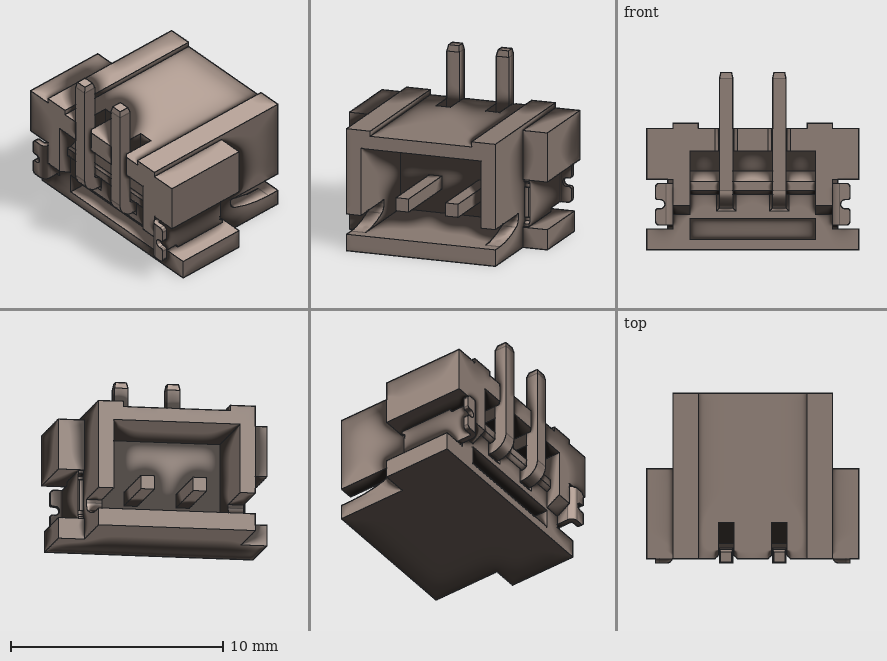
import cadquery as cq
import math


ear_half_width = 5.0
body_half_width = 3.76
body_depth = 7.8
body_height = 5.72
rail_inner_x = 2.56
rail_top = 5.97
ear_depth = 4.24
lower_ear_top = 0.99
upper_ear_bottom = 3.32
base_front = 0.71
leg_bottom_front = 2.1
leg_bottom_back = 1.66

recess_half_width = 2.95
recess_top = 4.66
recess_back = 1.7
ramp_top = 3.71
lip_front = 0.5
lip_top = 3.22
lip_bottom = 2.79
lip_root = 2.61
label_bottom = 0.49
label_top = 1.48
label_depth = 0.76

cavity_half_width = 3.03
roof_thickness = 0.64
cavity_front = 2.7
cavity_floor = 0.81
slot_top = 1.8
slot_front = 4.8
slot_flat_end = 7.2
slot_arc_radius = 5.8
slot_corner_radius = 0.45

pin_pitch = 2.5
pin_size = 0.64
pin_front = -0.21
pin_top = 8.36
pin_tip_height = 0.29
pin_tip_inset = 0.06
pin_tip_back_inset = 0.1
pin_bottom = 1.97
pin_bend_radius = 0.82
pin_end = 7.0
pin_slot_width = 0.72
pin_slot_chamfer = 0.17
pocket_flare = 0.13

tab_thickness = 0.25
tab_inner_radius = 0.07
tab_back = 4.01
tab_foot_x = 4.58
tab_foot_bottom = 1.17
tab_foot_top = 3.14
tab_neck_y = 1.25
tab_foot_corner = 0.18
tab_notch_width = 0.42
tab_notch_depth = 0.44
tab_notch_mouth_radius = 0.11
tab_rear_chamfer = 0.06
tab_barb_back = 4.07
tab_barb_straight = 0.13
tab_relief_back = 3.92
tab_relief_start = 0.25
tab_relief_end = 0.43

DIAGONAL = math.sqrt(0.5)
pin_places = (-pin_pitch / 2, pin_pitch / 2)


def box(x0, x1, y0, y1, z0, z1):
    return cq.Workplane("XY").box(x1 - x0, y1 - y0, z1 - z0, centered=False).translate((x0, y0, z0))


def bar(half_width, y0, y1, z0, z1):
    return box(-half_width, half_width, y0, y1, z0, z1)


def sketch_across(x):
    """YZ sketch plane at the given X; extrusion goes toward +X."""
    return cq.Workplane("YZ", origin=(x, 0, 0))


def make_housing():
    body = (
        sketch_across(-body_half_width)
        .polyline([
            (base_front, 0),
            (body_depth, 0),
            (body_depth, body_height),
            (0, body_height),
            (0, leg_bottom_front),
            (base_front, leg_bottom_back),
        ])
        .close()
        .extrude(2 * body_half_width)
    )
    body = body.union(bar(ear_half_width, base_front, ear_depth, 0, lower_ear_top))
    body = body.union(bar(ear_half_width, 0, ear_depth, upper_ear_bottom, body_height))
    rails = bar(body_half_width, 0, body_depth, body_height, rail_top)
    rails = rails.cut(bar(rail_inner_x, 0, body_depth, body_height, rail_top))
    return body.union(rails)


def make_front_recess():
    """Opening above the base with a ramp and an overhanging lip under it."""
    return (
        sketch_across(-recess_half_width)
        .polyline([
            (0, recess_top),
            (recess_back, recess_top),
            (recess_back, ramp_top),
            (base_front, lip_top),
            (lip_front, lip_top),
            (lip_front, lip_bottom),
            (base_front, lip_root),
            (base_front, leg_bottom_back),
            (0, leg_bottom_back),
        ])
        .close()
        .extrude(2 * recess_half_width)
    )


def make_side_slot():
    arc_end_run = slot_flat_end - slot_front
    half_sweep = math.asin(arc_end_run / slot_arc_radius) / 2

    def arc_point(angle):
        rise = slot_arc_radius * (1 - math.cos(angle))
        return (slot_flat_end - slot_arc_radius * math.sin(angle), cavity_floor + rise)

    slot = (
        sketch_across(-body_half_width)
        .moveTo(body_depth, slot_top)
        .lineTo(body_depth, cavity_floor)
        .lineTo(slot_flat_end, cavity_floor)
        .threePointArc(arc_point(half_sweep), arc_point(2 * half_sweep))
        .lineTo(slot_front, slot_top)
        .close()
        .extrude(2 * body_half_width)
    )
    corner = cq.selectors.NearestToPointSelector((0,) + arc_point(2 * half_sweep))
    return slot.edges("|X").edges(corner).fillet(slot_corner_radius)


def make_pin_slot(x):
    """Slot through the top wall with a chamfered mouth."""
    half = pin_slot_width / 2
    mouth = half + pin_slot_chamfer
    return (
        cq.Workplane("XY", origin=(x, 0, recess_top))
        .polyline([
            (-mouth, 0),
            (-half, pin_slot_chamfer),
            (-half, recess_back),
            (half, recess_back),
            (half, pin_slot_chamfer),
            (mouth, 0),
        ])
        .close()
        .extrude(body_height - recess_top)
    )


def make_pin_pocket(x):
    """Flared pocket where the pin enters the base; its top edge stays level."""
    height = lip_root - pin_bottom
    outer_height = height + pocket_flare
    return (
        cq.Workplane("XZ", origin=(x, base_front, lip_root - outer_height / 2))
        .rect(pin_size + 2 * pocket_flare, outer_height)
        .workplane(offset=-pocket_flare)
        .center(0, pocket_flare / 2)
        .rect(pin_size, height)
        .loft()
    )


def make_pin(x):
    """Square pin that runs along Y and bends up to a tapered tip."""
    corner = (pin_front + pin_bend_radius, pin_bottom + pin_bend_radius)
    inner_radius = pin_bend_radius - pin_size
    shoulder = pin_top - pin_tip_height
    pin_back = pin_front + pin_size

    def bend_middle(radius):
        return (corner[0] - radius * DIAGONAL, corner[1] - radius * DIAGONAL)

    shank = (
        sketch_across(x - pin_size / 2)
        .moveTo(pin_front, shoulder)
        .lineTo(pin_front, corner[1])
        .threePointArc(bend_middle(pin_bend_radius), (corner[0], pin_bottom))
        .lineTo(pin_end, pin_bottom)
        .lineTo(pin_end, pin_bottom + pin_size)
        .lineTo(corner[0], pin_bottom + pin_size)
        .threePointArc(bend_middle(inner_radius), (pin_back, corner[1]))
        .lineTo(pin_back, shoulder)
        .close()
        .extrude(pin_size)
    )
    tip_width = pin_size - 2 * pin_tip_inset
    tip_depth = pin_size - pin_tip_inset - pin_tip_back_inset
    tip = (
        cq.Workplane("XY", origin=(x, pin_front + pin_size / 2, shoulder))
        .rect(pin_size, pin_size)
        .workplane(offset=pin_tip_height)
        .center(0, (pin_tip_inset - pin_tip_back_inset) / 2)
        .rect(tip_width, tip_depth)
        .loft()
    )
    return shank.union(tip)


def make_tab():
    """Solder tab on the +X side: a plate along the housing bent outward into a notched foot."""
    outer_radius = tab_inner_radius + tab_thickness
    bend_x = body_half_width + outer_radius
    bend_y = pin_front + outer_radius
    foot_back = pin_front + tab_thickness
    plate_x = body_half_width + tab_thickness
    plate_height = upper_ear_bottom - lower_ear_top
    middle = (tab_foot_bottom + tab_foot_top) / 2

    def bend_middle(radius):
        return (bend_x - radius * DIAGONAL, bend_y - radius * DIAGONAL)

    tab = (
        cq.Workplane("XY", origin=(0, 0, lower_ear_top))
        .moveTo(body_half_width, tab_barb_back)
        .lineTo(body_half_width, bend_y)
        .threePointArc(bend_middle(outer_radius), (bend_x, pin_front))
        .lineTo(tab_foot_x, pin_front)
        .lineTo(tab_foot_x, foot_back)
        .lineTo(bend_x, foot_back)
        .threePointArc(bend_middle(tab_inner_radius), (plate_x, bend_y))
        .lineTo(plate_x, tab_barb_back)
        .close()
        .extrude(plate_height)
    )

    for edge, foot_edge in ((lower_ear_top, tab_foot_bottom), (upper_ear_bottom, tab_foot_top)):
        step = abs(foot_edge - edge)
        inward = math.copysign(1, foot_edge - edge)
        neck = (
            sketch_across(body_half_width)
            .moveTo(pin_front, edge)
            .lineTo(tab_neck_y, edge)
            .threePointArc(
                (tab_neck_y - step * (1 - DIAGONAL), edge + inward * step * DIAGONAL),
                (tab_neck_y - step, foot_edge),
            )
            .lineTo(pin_front, foot_edge)
            .close()
            .extrude(tab_foot_x - body_half_width)
        )
        tab = tab.cut(neck)

    low = lower_ear_top
    high = upper_ear_bottom
    trim = (
        sketch_across(body_half_width)
        .polyline([
            (tab_barb_back, low),
            (tab_barb_back, low + tab_barb_straight),
            (tab_relief_back, low + tab_relief_start),
            (tab_relief_back, low + tab_relief_end),
            (tab_back, low + tab_relief_end),
            (tab_back, high - tab_relief_end),
            (tab_relief_back, high - tab_relief_end),
            (tab_relief_back, high - tab_relief_start),
            (tab_barb_back, high - tab_barb_straight),
            (tab_barb_back, high),
            (ear_depth, high),
            (ear_depth, low),
        ])
        .close()
        .extrude(tab_thickness)
    )
    tab = tab.cut(trim)
    rear_edge = cq.selectors.NearestToPointSelector((plate_x, tab_back, middle))
    tab = tab.edges("|Z").edges(rear_edge).chamfer(tab_rear_chamfer)

    tab = tab.edges("|Y").edges(">X").fillet(tab_foot_corner)
    notch = (
        cq.Workplane("XZ", origin=(tab_foot_x, foot_back, middle))
        .slot2D(2 * tab_notch_depth, tab_notch_width)
        .extrude(tab_thickness)
    )
    tab = tab.cut(notch)
    foot_middle_y = pin_front + tab_thickness / 2
    for side in (-1, 1):
        mouth_point = (tab_foot_x, foot_middle_y, middle + side * tab_notch_width / 2)
        mouth_edge = cq.selectors.NearestToPointSelector(mouth_point)
        tab = tab.edges("|Y").edges(mouth_edge).fillet(tab_notch_mouth_radius)
    return tab


housing = make_housing()
housing = housing.cut(make_front_recess())
housing = housing.cut(
    bar(recess_half_width, base_front, base_front + label_depth, label_bottom, label_top)
)
housing = housing.cut(
    bar(cavity_half_width, cavity_front, body_depth, cavity_floor, body_height - roof_thickness)
)
housing = housing.cut(make_side_slot())

for pin_x in pin_places:
    housing = housing.cut(make_pin_slot(pin_x))
    housing = housing.cut(make_pin_pocket(pin_x))

result = housing
for pin_x in pin_places:
    result = result.union(make_pin(pin_x))

tab = make_tab()
result = result.union(tab).union(tab.mirror("YZ"))